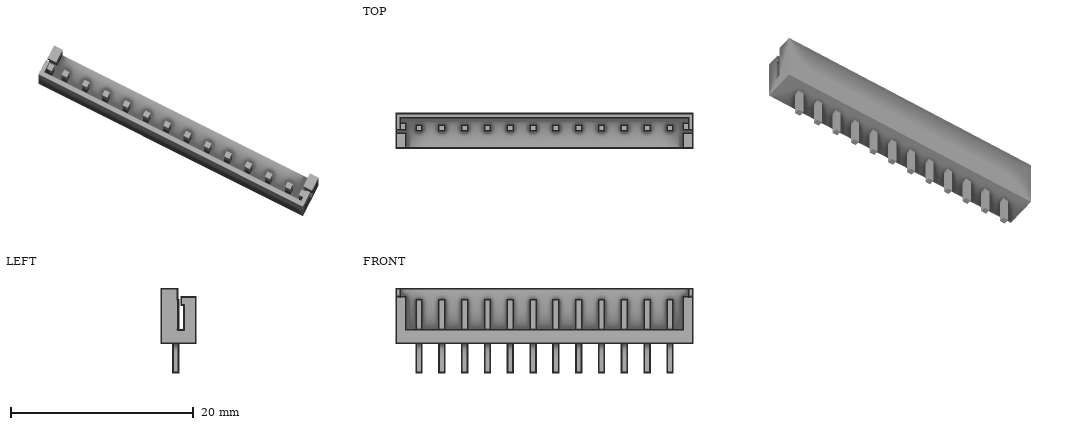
import cadquery as cq

length = 32.5
depth = 3.8
height = 6.0
floor_thickness = 1.5
back_wall = 0.5
end_wall = 0.45
end_wall_depth = 1.8

rib_width = 0.6
rib_back = 1.1
post_height = 5.1

post_width = end_wall + rib_width
post_back = 2.5
lip_reach = 0.3
lip_thickness = 0.9

pin_count = 12
pin_pitch = 2.5
pin_width = 0.64
pin_setback = 1.6
pin_top = 4.8
pin_tail = 3.2


def block(x_start, x_size, back, front, bottom, top):
    """Box between two distances from the back face and two heights."""
    size_y = front - back
    box = cq.Workplane("XY").box(x_size, size_y, top - bottom, centered=False)
    return box.translate((x_start, -front, bottom))


def housing_shell():
    """Floor and full-length back wall."""
    left = -length / 2
    floor = block(left, length, 0, depth, 0, floor_thickness)
    wall = block(left, length, 0, back_wall, 0, height)
    return floor.union(wall)


def left_end():
    """End wall, rib and lipped corner post at the -X end."""
    left = -length / 2
    wall = block(left, end_wall, 0, end_wall_depth, 0, height)
    rib = block(left + end_wall, rib_width, rib_back, end_wall_depth, 0, post_height)
    post = block(left, post_width, post_back, depth, 0, post_height)
    lip_bottom = post_height - lip_thickness
    lip = block(left, post_width, post_back - lip_reach, depth, lip_bottom, post_height)
    return wall.union(rib).union(post).union(lip)


def pin(x):
    """Square pin running through the floor, centred at the given X."""
    back = pin_setback - pin_width / 2
    return block(x - pin_width / 2, pin_width, back, back + pin_width, -pin_tail, pin_top)


end = left_end()
result = housing_shell().union(end).union(end.mirror("YZ"))

first_pin_x = -pin_pitch * (pin_count - 1) / 2
for index in range(pin_count):
    result = result.union(pin(first_pin_x + index * pin_pitch))